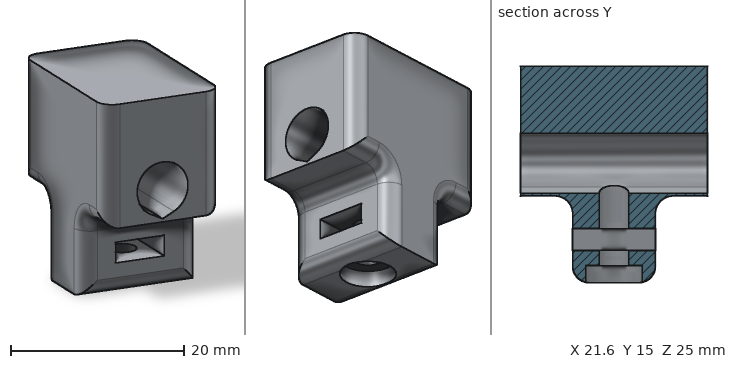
import cadquery as cq
import math

width = 21.6
depth = 15.0
height = 25.0

stem_width = 9.6
stem_height = 10.0
edge_radius = 2.0

hole_diameter = 6.5
hole_center_z = 14.0
hole_tip_depth = 3.62

slot_width = 6.25
slot_height = 2.5
slot_center_z = stem_height / 2

screw_hole_diameter = 3.4
screw_head_diameter = 6.5
screw_head_depth = 2.0


def make_body():
    """T profile extruded along Y, centred on the origin, with its base at Z = 0."""
    head = cq.Workplane("XY").box(width, depth, height - stem_height, centered=(True, True, False))
    head = head.translate((0, 0, stem_height))
    stem = cq.Workplane("XY").box(stem_width, depth, stem_height, centered=(True, True, False))
    body = head.union(stem)
    margin = 0.25
    inner_corners = cq.selectors.BoxSelector(
        (-stem_width / 2 - margin, -depth, stem_height - margin),
        (stem_width / 2 + margin, depth, stem_height + margin),
    )
    return body.edges("|Y").edges(inner_corners).fillet(edge_radius)


def round_outline(body):
    """Round the front and back outline, leaving the top and base edges sharp."""
    outline = body.faces("<Y or >Y").edges()
    lowest = outline.edges("<Z").vals()
    highest = outline.edges(">Z").vals()
    rounded = [edge for edge in outline.vals() if edge not in lowest + highest]
    return body.newObject(rounded).fillet(edge_radius)


def round_base(body):
    """Round the two base edges along Y, which mitre with the rounded upright edges."""
    stem_limit = (
        cq.Workplane("XY")
        .box(stem_width, depth, height, centered=(True, True, False))
        .edges("|Y and <Z")
        .fillet(edge_radius)
    )
    head_limit = (
        cq.Workplane("XY")
        .box(width, depth, height - edge_radius, centered=(True, True, False))
        .translate((0, 0, edge_radius))
    )
    return body.intersect(stem_limit.union(head_limit))


def make_cord_hole():
    """Round bore joined to a downward point by two tangent flats."""
    radius = hole_diameter / 2
    tangent_angle = math.acos(radius / hole_tip_depth)
    tangent_y = radius * math.sin(tangent_angle)
    tangent_z = hole_center_z - radius * math.cos(tangent_angle)
    return (
        cq.Workplane("YZ")
        .moveTo(-tangent_y, tangent_z)
        .threePointArc((0, hole_center_z + radius), (tangent_y, tangent_z))
        .lineTo(0, hole_center_z - hole_tip_depth)
        .close()
        .extrude(width, both=True)
    )


def make_slot():
    return cq.Workplane("XY").box(2 * width, slot_width, slot_height).translate((0, 0, slot_center_z))


def make_screw_hole():
    """Vertical hole on the stem axis, counterbored at the base and ending inside the cord hole."""
    shank = cq.Workplane("XY").circle(screw_hole_diameter / 2).extrude(hole_center_z)
    head_recess = cq.Workplane("XY").circle(screw_head_diameter / 2).extrude(screw_head_depth)
    return shank.union(head_recess)


rounded_body = round_base(round_outline(make_body()))
result = rounded_body.cut(make_cord_hole()).cut(make_slot()).cut(make_screw_hole())